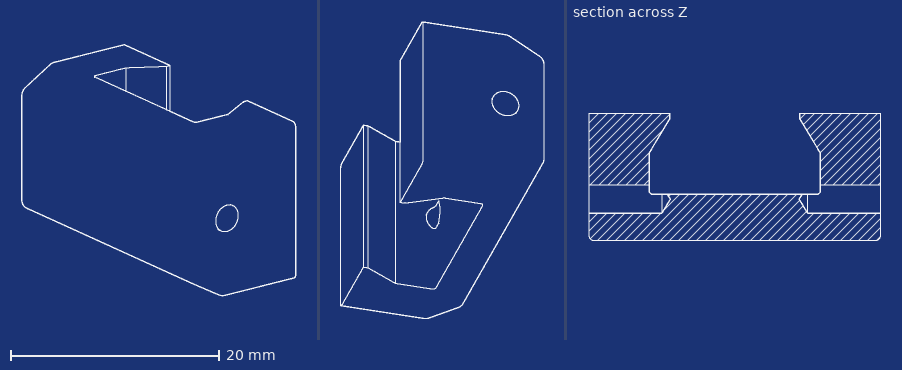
import cadquery as cq
import math

length = 28.0
depth = 12.25
height = 16.0

bevel_start = 8.57
bevel_angle = 30.0
bevel_drop = (depth - bevel_start) * math.tan(math.radians(bevel_angle))
bevel_fillet = 1.0
end_fillet = 0.5

throat_width = 12.43
slot_width = 16.4
lip_depth = 0.48
taper_end = 3.8
slot_depth = 7.75
slot_corner_radius = 0.3

hole_diameter = 2.7
hole_inset = 8.23
hole_depth = 7.0
drill_tip_angle = 118.0


def make_block():
    """Bevelled bar with rounded bevel edges and rounded ends."""
    half_height = height / 2
    front_half_height = half_height - bevel_drop
    profile = [
        (0, -half_height),
        (-bevel_start, -half_height),
        (-depth, -front_half_height),
        (-depth, front_half_height),
        (-bevel_start, half_height),
        (0, half_height),
    ]
    block = cq.Workplane("YZ").polyline(profile).close().extrude(length / 2, both=True)
    block = block.edges("|X").edges("not >Y").fillet(bevel_fillet)
    end_edges = block.faces("<X or >X").edges("not >Y")
    return end_edges.fillet(end_fillet)


def make_slot():
    """Slot through the full height, narrower at its mouth than at its floor."""
    half_throat = throat_width / 2
    half_slot = slot_width / 2
    profile = [
        (-half_throat, 0),
        (-half_throat, -lip_depth),
        (-half_slot, -taper_end),
        (-half_slot, -slot_depth),
        (half_slot, -slot_depth),
        (half_slot, -taper_end),
        (half_throat, -lip_depth),
        (half_throat, 0),
    ]
    slot = cq.Workplane("XY").polyline(profile).close().extrude(height / 2, both=True)
    return slot.edges("|Z and <Y").fillet(slot_corner_radius)


def make_left_hole():
    """Drilled hole with a conical tip, entering the -X end."""
    radius = hole_diameter / 2
    tip_length = radius / math.tan(math.radians(drill_tip_angle / 2))
    entry = -length / 2
    shoulder = entry + hole_depth
    half_section = [
        (entry, -hole_inset),
        (entry, -hole_inset + radius),
        (shoulder, -hole_inset + radius),
        (shoulder + tip_length, -hole_inset),
    ]
    axis_start = (entry, -hole_inset)
    axis_end = (shoulder, -hole_inset)
    return cq.Workplane("XY").polyline(half_section).close().revolve(360, axis_start, axis_end)


left_hole = make_left_hole()
right_hole = left_hole.mirror("YZ")
body = make_block().cut(make_slot()).cut(left_hole).cut(right_hole)

result = body.translate((0, depth / 2, 0))